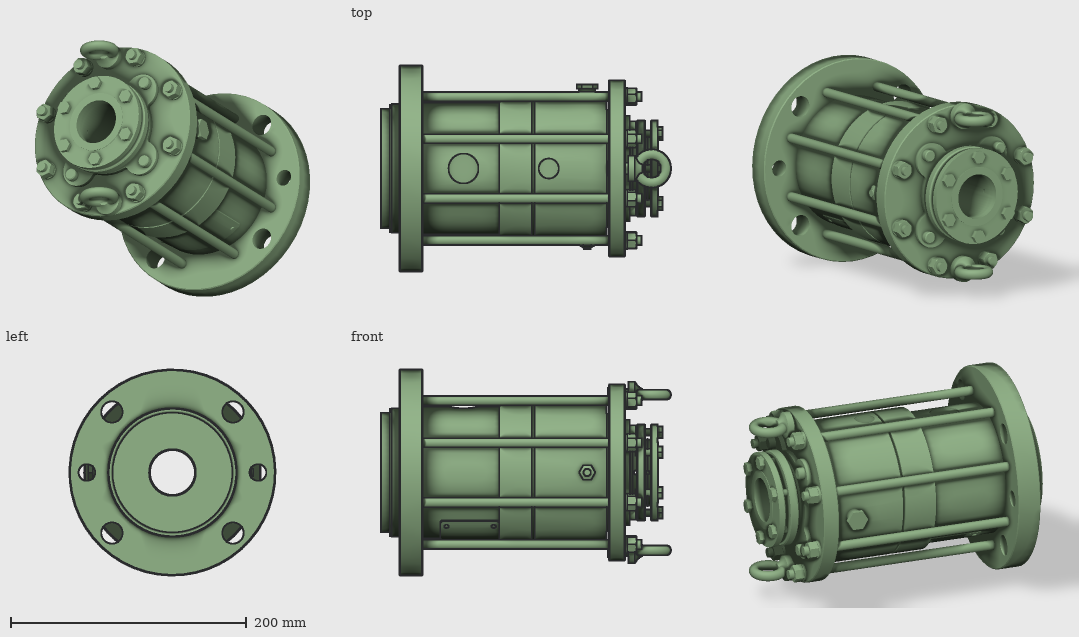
import cadquery as cq
import math

OVERALL_LENGTH = 246.02
TOLERANCE = 0.01

BORE_D = 38
BORE_MOUTH_D = 39.8
SPIGOT_D = 101.6
SPIGOT_END = 7.7
LIP_D = 109.4
LIP_RELIEF_D = 108
LIP_RELIEF_END = 9.4
FRONT_FLANGE_D = 175
FRONT_FLANGE_START = 15.5
FRONT_FLANGE_END = 35.5
FLANGE_CHAMFER = 0.8
FLANGE_PITCH_RADIUS = 72.5
LARGE_HOLE_D = 18
SMALL_HOLE_D = 14

FRONT_BODY_D = 112
REAR_BODY_D = 122
FRONT_BODY_END = 100.4
GROOVE_START = 128
GROOVE_END = 130.3
GROOVE_D = 114
REAR_BODY_END = 191.4
NECK_D = 100
REAR_FLANGE_D = 150
REAR_FLANGE_START = 193.2
REAR_FLANGE_END = 207

LARGE_RECESS_D = 25.4
LARGE_RECESS_X = 70
LARGE_RECESS_FLOOR_Z = 54.3
SMALL_RECESS_D = 17
SMALL_RECESS_X = 142.3
SMALL_RECESS_FLOOR_Z = 60.2

ROD_COUNT = 8
ROD_D = 8
ROD_PITCH_RADIUS = 66
ROD_FIRST_ANGLE = 360 / ROD_COUNT / 2
ROD_END = 221
ROD_WASHER_D = 14.6
ROD_WASHER_END = 209
NUT_WIDTH = 13
NUT_END = 216.8
NUT_CHAMFER = 0.8
NUT_TURN = -7.5

EYE_THREAD_D = 12
EYE_NECK_D = 10
EYE_COLLAR_D = 22
EYE_COLLAR_START = 209.9
EYE_COLLAR_END = 215.4
EYE_BLEND_END = 221.5
EYE_BLEND_END_RADIUS = 4.9
EYE_BLEND_SAG = 2
EYE_RING_RADIUS = 12
EYE_WIRE_RADIUS = 4.3
EYE_RING_X = OVERALL_LENGTH - EYE_RING_RADIUS - EYE_WIRE_RADIUS
EYE_PROTRUSION = 0.9

COVER_D = 78
COVER_END = 211
EAR_D = 30
EAR_PITCH_RADIUS = 42.2
EAR_COUNT = 4
EAR_BLEND_RADIUS = 3
SOCKET_HEAD_PITCH_RADIUS = 49.8
SOCKET_HEAD_D = 10
SOCKET_HEAD_END = 216.7
SOCKET_HEAD_CHAMFER = 0.8

COLLAR_D = 66
COLLAR_START = 211.8
COLLAR_END = 213.6
REAR_SLEEVE_D = 56
SLEEVE_RIB_D = 57.4
SLEEVE_RIB_START = 226
SLEEVE_RIB_END = 226.3
SLEEVE_END_D = 51
SLEEVE_END = 235.1
PIN_HOLE_D = 3.17
PIN_HOLE_X = 216.1
SIDE_PIN_HOLE_X = 226.3
SIDE_PIN_HOLE_DEPTH = 1.5

CLAMP_PLATE_D = 81.81
CLAMP_CHAMFER = 0.9
INNER_PLATE_START = 216.9
INNER_PLATE_END = 224.2
OUTER_PLATE_START = 228.7
OUTER_PLATE_END = 234.7
BOLT_COUNT = 6
BOLT_D = 6
BOLT_START = 215.7
BOLT_PITCH_RADIUS = 34.2
BOLT_FIRST_ANGLE = 90
BOLT_HEAD_WIDTH = 10
BOLT_HEAD_END = 238.9

PLUG_X = 174.9
DRAIN_BOSS_D = 14
DRAIN_HEX_WIDTH = 15.7
DRAIN_BOSS_END = 67.6
DRAIN_HEX_END = 71.3
NIPPLE_HEX_WIDTH = 12
NIPPLE_TIP_D = 6
NIPPLE_CONE_TOP_D = 6.4
NIPPLE_TIP_END = 68.5
NIPPLE_CONE_TOP = 67
NIPPLE_CONE_HEIGHT = 2.2

NAME_PLATE_START = 50.4
NAME_PLATE_THICKNESS = 0.7
NAME_PLATE_HALF_WIDTH = 38.7
NAME_PLATE_CORNER_RADIUS = 2
RIVET_D = 4
RIVET_SPAN = 40
RIVET_X = 75.6
RIVET_ANGLE = 36.5
RIVET_HEIGHT = 0.8


def hex_diameter(width):
    """Across-corners size of a hexagon with the given width across flats."""
    return width / math.cos(math.pi / 6)


def at_x(x):
    """Sketch plane normal to the main axis; local x is +Y and local y is +Z."""
    return cq.Workplane("YZ", origin=(x, 0, 0))


def disc(diameter, start, end):
    """Cylinder on the main axis between two X positions."""
    return at_x(start).circle(diameter / 2).extrude(end - start)


def around_axis(shape, count, first_angle):
    """Copies of a shape built on the +Y side, spaced evenly about the main axis."""
    copies = cq.Workplane()
    for i in range(count):
        angle = first_angle + i * 360 / count
        copies = copies.add(shape.rotate((0, 0, 0), (1, 0, 0), angle).vals())
    return copies.combine()


def front_flange():
    flange = disc(FRONT_FLANGE_D, FRONT_FLANGE_START, FRONT_FLANGE_END).edges().chamfer(FLANGE_CHAMFER)
    flange = flange.rotate((0, 0, 0), (1, 0, 0), 45)
    for diameter, count, first_angle in ((LARGE_HOLE_D, 4, 45), (SMALL_HOLE_D, 2, 0)):
        holes = at_x(FRONT_FLANGE_START).polarArray(FLANGE_PITCH_RADIUS, first_angle, 360, count)
        flange = flange.cut(holes.circle(diameter / 2).extrude(FRONT_FLANGE_END - FRONT_FLANGE_START))
    return flange


def housing():
    body = disc(SPIGOT_D, 0, SPIGOT_END)
    body = body.union(disc(LIP_RELIEF_D, SPIGOT_END, LIP_RELIEF_END))
    body = body.union(disc(LIP_D, LIP_RELIEF_END, FRONT_FLANGE_START))
    body = body.union(front_flange())
    body = body.union(disc(FRONT_BODY_D, FRONT_FLANGE_END, FRONT_BODY_END))
    body = body.union(disc(REAR_BODY_D, FRONT_BODY_END, GROOVE_START))
    body = body.union(disc(GROOVE_D, GROOVE_START, GROOVE_END))
    body = body.union(disc(REAR_BODY_D, GROOVE_END, REAR_BODY_END))
    body = body.union(disc(NECK_D, REAR_BODY_END, REAR_FLANGE_START))
    rear_flange = disc(REAR_FLANGE_D, REAR_FLANGE_START, REAR_FLANGE_END)
    return body.union(rear_flange.edges().chamfer(FLANGE_CHAMFER))


def top_recess(x, diameter, floor_z):
    plane = cq.Workplane("XY", origin=(x, 0, floor_z))
    return plane.circle(diameter / 2).extrude(REAR_BODY_D / 2 - floor_z)


def tie_rod():
    rod = disc(ROD_D, FRONT_FLANGE_END, ROD_END)
    washer = disc(ROD_WASHER_D, REAR_FLANGE_END, ROD_WASHER_END)
    nut = at_x(ROD_WASHER_END).polygon(6, hex_diameter(NUT_WIDTH)).extrude(NUT_END - ROD_WASHER_END)
    nut_cone = disc(hex_diameter(NUT_WIDTH), ROD_WASHER_END, NUT_END).faces(">X").chamfer(NUT_CHAMFER)
    nut = nut.intersect(nut_cone).rotate((0, 0, 0), (1, 0, 0), NUT_TURN)
    return rod.union(washer).union(nut).translate((0, ROD_PITCH_RADIUS, 0))


def eye_bolt():
    """Lifting eye on the +Z side with its ring in a plane parallel to XY."""
    bolt = disc(EYE_THREAD_D, REAR_FLANGE_START - EYE_PROTRUSION, REAR_FLANGE_START)
    bolt = bolt.union(disc(EYE_NECK_D, REAR_FLANGE_END, EYE_COLLAR_START))
    collar_radius = EYE_COLLAR_D / 2
    blend_mid = (EYE_COLLAR_END + EYE_BLEND_SAG, (collar_radius + EYE_BLEND_END_RADIUS) / 2)
    collar = (
        cq.Workplane("XY")
        .moveTo(EYE_COLLAR_START, 0)
        .lineTo(EYE_COLLAR_START, collar_radius)
        .lineTo(EYE_COLLAR_END, collar_radius)
        .threePointArc(blend_mid, (EYE_BLEND_END, EYE_BLEND_END_RADIUS))
        .lineTo(EYE_BLEND_END, 0)
        .close()
        .revolve(360, (0, 0, 0), (1, 0, 0))
    )
    ring = cq.Workplane(cq.Solid.makeTorus(EYE_RING_RADIUS, EYE_WIRE_RADIUS)).translate((EYE_RING_X, 0, 0))
    return bolt.union(collar).union(ring).translate((0, 0, ROD_PITCH_RADIUS))


def eared_cover():
    thickness = COVER_END - REAR_FLANGE_END
    ears = at_x(REAR_FLANGE_END).polarArray(EAR_PITCH_RADIUS, 45, 360, EAR_COUNT)
    ears = ears.circle(EAR_D / 2).extrude(thickness)
    cover = disc(COVER_D, REAR_FLANGE_END, COVER_END).union(ears)
    rim = COVER_D / 2
    inner_corners = cover.edges("|X").filter(
        lambda edge: abs(math.hypot(edge.Center().y, edge.Center().z) - rim) < TOLERANCE
        and min(abs(edge.Center().y), abs(edge.Center().z)) > TOLERANCE
    )
    cover = inner_corners.fillet(EAR_BLEND_RADIUS)
    head = disc(SOCKET_HEAD_D, COVER_END, SOCKET_HEAD_END).faces(">X").chamfer(SOCKET_HEAD_CHAMFER)
    return cover.union(around_axis(head.translate((0, SOCKET_HEAD_PITCH_RADIUS, 0)), EAR_COUNT, 45))


def sleeve():
    tube = disc(REAR_SLEEVE_D, COVER_END, OUTER_PLATE_START)
    tube = tube.union(disc(COLLAR_D, COLLAR_START, COLLAR_END))
    tube = tube.union(disc(SLEEVE_RIB_D, SLEEVE_RIB_START, SLEEVE_RIB_END))
    tube = tube.union(disc(SLEEVE_END_D, OUTER_PLATE_START, SLEEVE_END))
    pin_hole = cq.Workplane("XZ", origin=(PIN_HOLE_X, 0, 0)).circle(PIN_HOLE_D / 2)
    tube = tube.cut(pin_hole.extrude(REAR_SLEEVE_D, both=True))
    side_hole_floor = SLEEVE_RIB_D / 2 - SIDE_PIN_HOLE_DEPTH
    side_hole = cq.Workplane("XZ", origin=(SIDE_PIN_HOLE_X, -side_hole_floor, 0))
    return tube.cut(side_hole.circle(PIN_HOLE_D / 2).extrude(SIDE_PIN_HOLE_DEPTH))


def clamp_bolt():
    shank = disc(BOLT_D, BOLT_START, OUTER_PLATE_END)
    head = at_x(OUTER_PLATE_END).polygon(6, hex_diameter(BOLT_HEAD_WIDTH))
    head = head.extrude(BOLT_HEAD_END - OUTER_PLATE_END).rotate((0, 0, 0), (1, 0, 0), BOLT_FIRST_ANGLE)
    return shank.union(head).translate((0, BOLT_PITCH_RADIUS, 0))


def clamp_plates():
    inner = disc(CLAMP_PLATE_D, INNER_PLATE_START, INNER_PLATE_END).edges().chamfer(CLAMP_CHAMFER)
    outer = disc(CLAMP_PLATE_D, OUTER_PLATE_START, OUTER_PLATE_END).faces("<X").chamfer(CLAMP_CHAMFER)
    return inner.union(outer).union(around_axis(clamp_bolt(), BOLT_COUNT, BOLT_FIRST_ANGLE))


def drain_plug():
    """Hex plug on a round boss on the +Y side."""
    root = NECK_D / 2
    boss = cq.Workplane("ZX", origin=(PLUG_X, root, 0)).circle(DRAIN_BOSS_D / 2).extrude(DRAIN_BOSS_END - root)
    head = cq.Workplane("ZX", origin=(PLUG_X, DRAIN_BOSS_END, 0)).transformed(rotate=(0, 0, 90))
    head = head.polygon(6, hex_diameter(DRAIN_HEX_WIDTH)).extrude(DRAIN_HEX_END - DRAIN_BOSS_END)
    return boss.union(head)


def nipple():
    """Hex nipple with a coned top and a round tip on the -Y side."""
    root = NECK_D / 2
    base = cq.Workplane("XZ", origin=(PLUG_X, -root, 0))
    corner_d = hex_diameter(NIPPLE_HEX_WIDTH)
    height = NIPPLE_CONE_TOP - root
    cone_run = (corner_d - NIPPLE_CONE_TOP_D) / 2
    coned = base.circle(corner_d / 2).extrude(height).faces("<Y").chamfer(NIPPLE_CONE_HEIGHT, cone_run)
    body = base.polygon(6, corner_d).extrude(height).intersect(coned)
    return body.union(base.circle(NIPPLE_TIP_D / 2).extrude(NIPPLE_TIP_END - root))


def name_plate():
    """Thin curved plate on the -Z side of the front housing with four rivets."""
    outer_radius = FRONT_BODY_D / 2 + NAME_PLATE_THICKNESS
    length = FRONT_BODY_END - NAME_PLATE_START
    window = cq.Workplane("XY").center(NAME_PLATE_START + length / 2, 0)
    window = window.rect(length, 2 * NAME_PLATE_HALF_WIDTH).extrude(-REAR_BODY_D)
    window = window.edges("|Z").fillet(NAME_PLATE_CORNER_RADIUS)
    plate = disc(2 * outer_radius, NAME_PLATE_START, FRONT_BODY_END).intersect(window)
    for x in (RIVET_X - RIVET_SPAN / 2, RIVET_X + RIVET_SPAN / 2):
        for angle in (-RIVET_ANGLE, RIVET_ANGLE):
            rivet = cq.Workplane("XY", origin=(x, 0, 0)).circle(RIVET_D / 2)
            rivet = rivet.extrude(-outer_radius - RIVET_HEIGHT)
            rivet = rivet.faces("<Z").edges().fillet(RIVET_HEIGHT)
            plate = plate.union(rivet.rotate((0, 0, 0), (1, 0, 0), angle))
    return plate


part = housing().union(name_plate())
part = part.cut(top_recess(LARGE_RECESS_X, LARGE_RECESS_D, LARGE_RECESS_FLOOR_Z))
part = part.cut(top_recess(SMALL_RECESS_X, SMALL_RECESS_D, SMALL_RECESS_FLOOR_Z))
part = part.union(around_axis(tie_rod(), ROD_COUNT, ROD_FIRST_ANGLE))
for turn in (0, 180):
    part = part.union(eye_bolt().rotate((0, 0, 0), (1, 0, 0), turn))
part = part.union(eared_cover()).union(sleeve()).union(clamp_plates())
part = part.union(drain_plug()).union(nipple())
bore = disc(BORE_D, 0, SLEEVE_END).union(disc(BORE_MOUTH_D, 0, FRONT_BODY_END))
result = part.cut(bore)